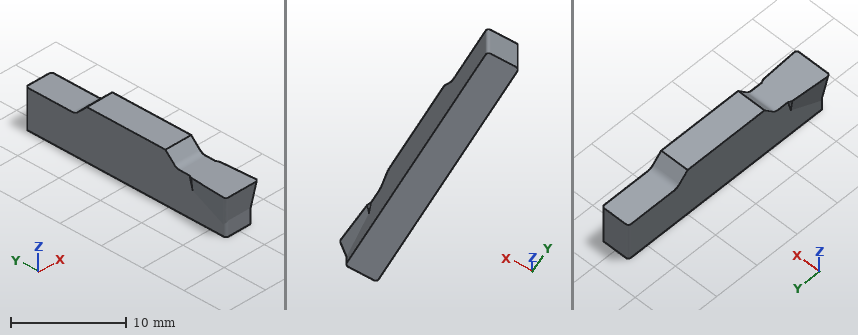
import cadquery as cq
import math

length = 24.65
width = 3.2
height = 5.8
seat_height = 4.45
nose_setback = 0.37
corner_radius = 0.3

ridge_front = 7.7
ridge_rear = 17.27
ramp_rise = height - seat_height
ramp_radius = 1.0

edge_half_width = 2.038
back_taper = 0.06
side_relief_angle = 7.0
side_relief = math.tan(math.radians(side_relief_angle))
nose_height = 1.7
front_relief = nose_setback / (seat_height - nose_height)
shoulder_start = 4.44
shoulder_end = 4.8
head_floor = 0.99


def make_shank():
    ramp_foot_front = ridge_front - ramp_rise
    ramp_foot_rear = ridge_rear + ramp_rise
    profile = [
        (nose_setback, 0),
        (length, 0),
        (length, seat_height),
        (ramp_foot_rear, seat_height),
        (ridge_rear, height),
        (ridge_front, height),
        (ramp_foot_front, seat_height),
        (nose_setback, seat_height),
    ]
    shank = cq.Workplane("YZ").polyline(profile).close().extrude(width / 2, both=True)
    for foot in (ramp_foot_front, ramp_foot_rear):
        nearest_edge = cq.selectors.NearestToPointSelector((0, foot, seat_height))
        shank = shank.edges(nearest_edge).fillet(ramp_radius)
    shank = shank.edges("|Z and <Y").fillet(corner_radius)
    return shank.edges("|Z and >Y").fillet(corner_radius)


def head_outline(depth):
    """Head cross-section at a depth below the rake face, narrowed by the reliefs."""
    front = front_relief * depth
    inset = side_relief * depth
    front_half = edge_half_width - back_taper * front - inset
    shoulder_half = edge_half_width - back_taper * shoulder_start - inset
    rear_half = width / 2 - inset
    right_side = [
        (front_half, front),
        (shoulder_half, shoulder_start),
        (rear_half, shoulder_end),
    ]
    left_side = [(-x, y) for x, y in reversed(right_side)]
    points = [cq.Vector(x, y, seat_height - depth) for x, y in right_side + left_side]
    return cq.Wire.makePolygon(points, close=True)


def make_head():
    outlines = [head_outline(seat_height - head_floor), head_outline(0)]
    head = cq.Workplane(cq.Solid.makeLoft(outlines, True))
    mid_depth = (seat_height - head_floor) / 2
    mid_front = front_relief * mid_depth
    mid_half = edge_half_width - back_taper * mid_front - side_relief * mid_depth
    for side in (-1, 1):
        corner = (side * mid_half, mid_front, seat_height - mid_depth)
        head = head.edges(cq.selectors.NearestToPointSelector(corner)).fillet(corner_radius)
    return head


result = make_shank().union(make_head())